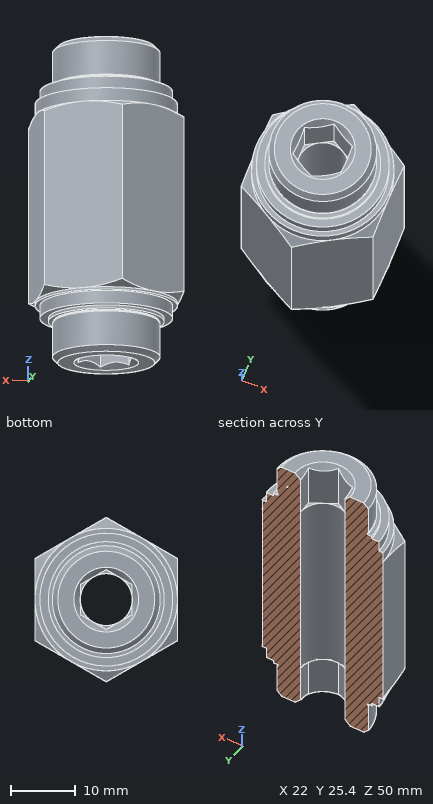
import cadquery as cq
import math

length = 50.0
hex_flats = 22.0
hex_corner_radius = hex_flats / math.sqrt(3)
corner_chamfer_angle = math.radians(30)

thread_radius = 16.65 / 2
thread_chamfer = 0.85
thread_end = 6.2
groove_radius = 8.15
groove_start = 6.35
collar_radius = 17.9 / 2
collar_start = 6.5
seal_radius = 20.5 / 2
seal_start = 7.0
shoulder_radius = hex_flats / 2
shoulder_start = 9.0
upper_hex_start = 11.0
lower_hex_start = 9.4

bore_diameter = 8.0
socket_flats = 8.0
socket_depth = 8.0
socket_mouth_radius = 5.0


def hexagon(flats, height, base_z):
    """Hexagonal prism with two flats facing X and corners on the Y axis."""
    corner_diameter = 2 * flats / math.sqrt(3)
    prism = cq.Workplane("XY").polygon(6, corner_diameter).extrude(height)
    return prism.rotate((0, 0, 0), (0, 0, 1), 90).translate((0, 0, base_z))


def end_profile(hex_start):
    """Radius and inward height of each profile point, from end face to hexagon corner."""
    corner_drop = (hex_corner_radius - shoulder_radius) * math.tan(corner_chamfer_angle)
    return [
        (0, 0),
        (thread_radius - thread_chamfer, 0),
        (thread_radius, thread_chamfer),
        (thread_radius, thread_end),
        (groove_radius, groove_start),
        (groove_radius, collar_start),
        (collar_radius, collar_start),
        (collar_radius, seal_start),
        (seal_radius, seal_start),
        (seal_radius, shoulder_start),
        (shoulder_radius, shoulder_start),
        (shoulder_radius, hex_start),
        (hex_corner_radius, hex_start + corner_drop),
    ]


def make_body():
    """Turned outline of both ends, trimmed to the hexagon flats."""
    lower = end_profile(lower_hex_start)
    upper = [(radius, length - height) for radius, height in end_profile(upper_hex_start)]
    outline = lower + upper[::-1]
    turned = cq.Workplane("XZ").polyline(outline).close().revolve(360, (0, 0), (0, 1))
    return turned.intersect(hexagon(hex_flats, length, 0))


def countersink():
    """45 degree cone that opens the lower socket."""
    outline = [(0, 0), (socket_mouth_radius, 0), (0, socket_mouth_radius)]
    return cq.Workplane("XZ").polyline(outline).close().revolve(360, (0, 0), (0, 1))


def make_socket():
    """Hexagonal key socket with a conical mouth, in the lower end."""
    return hexagon(socket_flats, socket_depth, 0).union(countersink())


lower_socket = make_socket()
upper_socket = lower_socket.mirror("XY").translate((0, 0, length))
bore = cq.Workplane("XY").circle(bore_diameter / 2).extrude(length)

result = make_body().cut(bore).cut(lower_socket).cut(upper_socket)